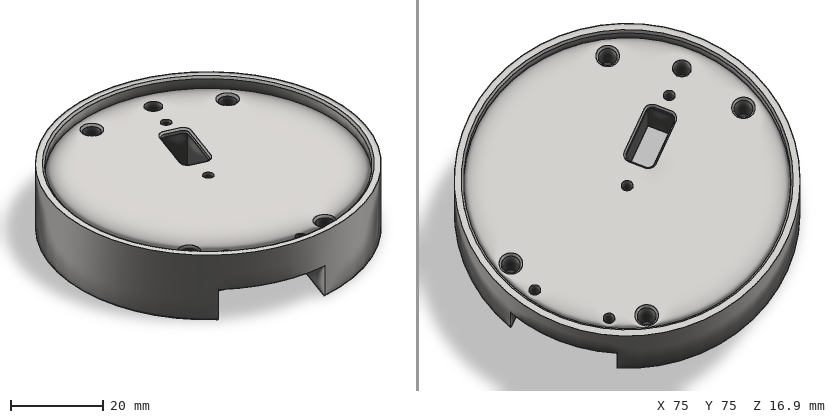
import cadquery as cq
import math

body_diameter = 75.0
body_height = 16.9
edge_chamfer = 0.5

recess_diameter = 70.95
recess_depth = 3.0
floor_z = body_height - recess_depth

window_length = 13.95
window_width = 6.6
window_corner_radius = 1.5
window_center_x = -12.8
window_chamfer = 0.45

plate_thickness = 1.2
cavity_height = floor_z - plate_thickness
pocket_radius = 10.0
channel_half_width = 4.0
channel_end_x = -21.0
junction_radius = 4.0

boss_diameter = 6.0

notch_width = 25.05
notch_height = 8.0
notch_inner_x = 24.0

through_hole_diameter = 2.5
outer_axis_hole_x = -23.5
clamp_hole_x = 30.8
clamp_hole_spacing = 17.5
blind_hole_diameter = 4.05
blind_hole_depth = 7.5
blind_hole_chamfer = 0.5
drill_point_angle = 118.0
corner_hole_x = 27.0
corner_hole_y = 16.0
side_hole_x = -30.5


def make_body():
    """Chamfered disc with the recess and its chamfered mouth."""
    disc = cq.Workplane("XY").circle(body_diameter / 2).extrude(body_height)
    disc = disc.faces("<Z").chamfer(edge_chamfer)
    recess = cq.Workplane("XY", origin=(0, 0, floor_z)).circle(recess_diameter / 2).extrude(recess_depth)
    recess = recess.union(mouth_chamfer(recess_diameter, edge_chamfer, body_height))
    return disc.cut(recess)


def mouth_chamfer(diameter, size, top_z):
    """Cone that widens a round opening by the chamfer size at top_z."""
    radius = diameter / 2
    cone = cq.Solid.makeCone(radius, radius + size, size, pnt=cq.Vector(0, 0, top_z - size))
    return cq.Workplane(obj=cone)


def make_window():
    """Rounded rectangular opening, flared at 45 degrees where it meets the floor."""
    outline = cq.Sketch().rect(window_length, window_width).vertices().fillet(window_corner_radius)
    straight = (
        cq.Workplane("XY", origin=(window_center_x, 0, cavity_height))
        .placeSketch(outline)
        .extrude(plate_thickness)
    )
    flare = (
        cq.Workplane("XY", origin=(window_center_x, 0, floor_z - window_chamfer))
        .placeSketch(outline)
        .extrude(window_chamfer, taper=-45)
    )
    return straight.union(flare)


def make_cavity():
    """Channel and pocket with rounded corners where they meet, around a boss for the central hole."""
    arc_center_y = channel_half_width + junction_radius
    arc_center_x = -math.sqrt((pocket_radius + junction_radius) ** 2 - arc_center_y**2)
    pocket_share = pocket_radius / (pocket_radius + junction_radius)
    touch_x = arc_center_x * pocket_share
    touch_y = arc_center_y * pocket_share
    outline = (
        cq.Workplane("XY")
        .moveTo(channel_end_x, -channel_half_width)
        .lineTo(arc_center_x, -channel_half_width)
        .radiusArc((touch_x, -touch_y), junction_radius)
        .threePointArc((pocket_radius, 0), (touch_x, touch_y))
        .radiusArc((arc_center_x, channel_half_width), junction_radius)
        .lineTo(channel_end_x, channel_half_width)
        .close()
    )
    boss = cq.Workplane("XY").circle(boss_diameter / 2).extrude(cavity_height)
    return outline.extrude(cavity_height).cut(boss)


def make_notch():
    """Rectangular notch running out through the +X side."""
    length = body_diameter / 2 - notch_inner_x
    start = cq.Workplane("XY", origin=(notch_inner_x, 0, 0))
    return start.box(length, notch_width, notch_height, centered=(False, True, False))


def make_through_holes():
    half_spacing = clamp_hole_spacing / 2
    points = [(0, 0), (outer_axis_hole_x, 0), (clamp_hole_x, half_spacing), (clamp_hole_x, -half_spacing)]
    return cq.Workplane("XY").pushPoints(points).circle(through_hole_diameter / 2).extrude(floor_z)


def make_blind_hole():
    """Drilled hole with a conical bottom, centred on the Z axis."""
    radius = blind_hole_diameter / 2
    bottom_z = floor_z - blind_hole_depth
    point_depth = radius / math.tan(math.radians(drill_point_angle / 2))
    return (
        cq.Workplane("XZ")
        .moveTo(0, floor_z)
        .lineTo(radius, floor_z)
        .lineTo(radius, bottom_z)
        .lineTo(0, bottom_z - point_depth)
        .close()
        .revolve(360, (0, 0, 0), (0, 1, 0))
    )


result = make_body().cut(make_cavity()).cut(make_window()).cut(make_notch()).cut(make_through_holes())

plain_hole = make_blind_hole()
chamfered_hole = plain_hole.union(mouth_chamfer(blind_hole_diameter, blind_hole_chamfer, floor_z))

result = result.cut(plain_hole.translate((side_hole_x, 0, 0)))
for x in (-corner_hole_x, corner_hole_x):
    for y in (-corner_hole_y, corner_hole_y):
        result = result.cut(chamfered_hole.translate((x, y, 0)))